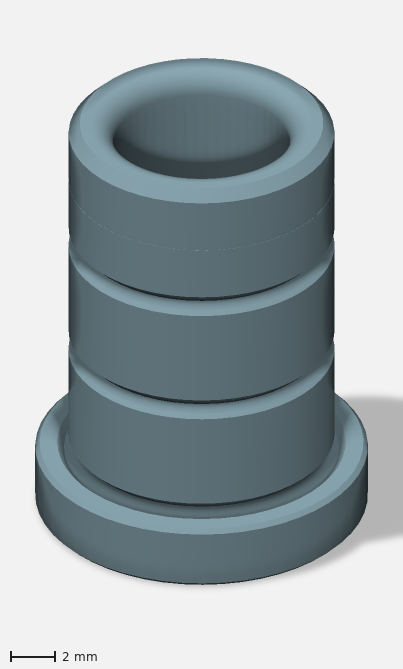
import cadquery as cq
import math


total_height = 20.0
flange_radius = 7.5
flange_height = 3.0
flange_chamfer = 0.2

body_radius = 6.0
lead_radius = 5.99
lead_length = 3.0
lead_chamfer = 0.5

groove_heights = (8.5, 14.0)
groove_depth = 0.5

relief_opening = 0.5
neck_depth = 0.4
floor_depth = 0.3
relief_fillet = 0.3

bore_radius = 4.0
bore_entry_radius = 1.0


def revolve_profile(profile):
    """Turn a closed profile, drawn as radius and height, about the Z axis."""
    return profile.revolve(360, (0, 0, 0), (0, 1, 0))


def make_blank():
    """Flange and sleeve as one solid of revolution, with all outer chamfers."""
    lead_start = total_height - lead_length
    profile = (
        cq.Workplane("XZ")
        .moveTo(0, 0)
        .lineTo(flange_radius - flange_chamfer, 0)
        .lineTo(flange_radius, flange_chamfer)
        .lineTo(flange_radius, flange_height - flange_chamfer)
        .lineTo(flange_radius - flange_chamfer, flange_height)
        .lineTo(body_radius, flange_height)
        .lineTo(body_radius, lead_start)
        .lineTo(lead_radius, lead_start)
        .lineTo(lead_radius, total_height - lead_chamfer)
        .lineTo(lead_radius - lead_chamfer, total_height)
        .lineTo(0, total_height)
        .close()
    )
    return revolve_profile(profile)


def make_v_groove(height):
    """Ring with a 90 degree V section, its tip at the given height."""
    profile = (
        cq.Workplane("XZ")
        .moveTo(body_radius - groove_depth, height)
        .lineTo(body_radius, height + groove_depth)
        .lineTo(body_radius, height - groove_depth)
        .close()
    )
    return revolve_profile(profile)


def make_corner_relief():
    """Ring that undercuts both the sleeve and the flange face at their corner.

    A 45 degree slope leads in from each surface. One ends at a cylindrical neck and
    the other at a flat floor, and a fillet joins the neck and the floor.
    """
    neck_radius = body_radius - neck_depth
    floor_height = flange_height - floor_depth
    mid_offset = relief_fillet * (1 - math.sqrt(0.5))
    profile = (
        cq.Workplane("XZ")
        .moveTo(body_radius, flange_height + relief_opening)
        .lineTo(neck_radius, flange_height + relief_opening - neck_depth)
        .lineTo(neck_radius, floor_height + relief_fillet)
        .threePointArc(
            (neck_radius + mid_offset, floor_height + mid_offset),
            (neck_radius + relief_fillet, floor_height),
        )
        .lineTo(body_radius + relief_opening - floor_depth, floor_height)
        .lineTo(body_radius + relief_opening, flange_height)
        .close()
    )
    return revolve_profile(profile)


def make_bore():
    """Through bore that flares out at the top along a quarter-round entry."""
    entry_start = total_height - bore_entry_radius
    mid_offset = bore_entry_radius * math.sqrt(0.5)
    mouth_radius = bore_radius + bore_entry_radius
    profile = (
        cq.Workplane("XZ")
        .moveTo(0, 0)
        .lineTo(bore_radius, 0)
        .lineTo(bore_radius, entry_start)
        .threePointArc(
            (mouth_radius - mid_offset, entry_start + mid_offset),
            (mouth_radius, total_height),
        )
        .lineTo(0, total_height)
        .close()
    )
    return revolve_profile(profile)


result = make_blank().cut(make_bore()).cut(make_corner_relief())
for groove_height in groove_heights:
    result = result.cut(make_v_groove(groove_height))